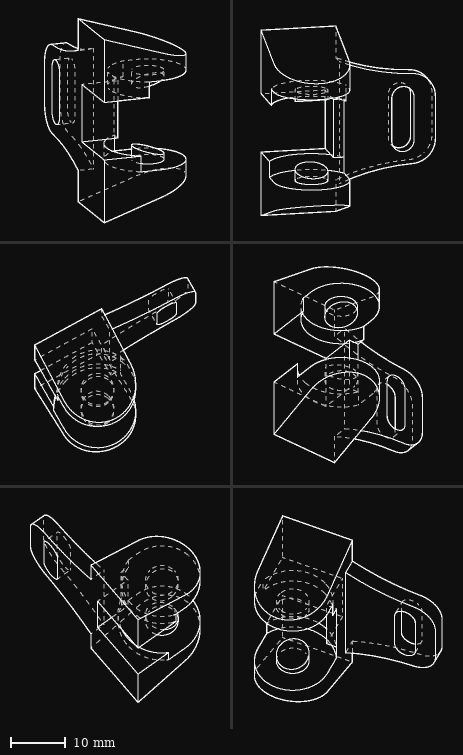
import cadquery as cq
import math

length = 32.0
height = 35.0
block_width = 14.0
nose_radius = block_width / 2
block_depth = 18.0
end_drop = 6.0
block_left = length - block_width
axis_x = block_left + nose_radius
axis_y = block_depth - nose_radius

gap_half_height = 5.5
web_right = 20.0
web_depth = 7.0
recess_half_height = 8.5
lower_recess_radius = 8.0
upper_recess_radius = 7.35

pin_diameter = 6.0
pin_short = 1.1
pin_tall = 2.75

tab_thickness = 3.0
tab_half_height = 8.5
tab_corner_radius = 4.5
tab_root_half_height = 11.5
flare_start_angle = math.radians(2.5)
flare_sag = 0.63
slot_x = 6.1
slot_width = 4.13
slot_length = 12.25


def side_prism(points):
    """Extrude a (Y, Z) polygon along X across the block."""
    return cq.Workplane("YZ", origin=(block_left, 0, 0)).polyline(points).close().extrude(block_width)


def cylinder(radius, z_start, z_end):
    """Cylinder on the common axis of the nose, recesses and pins."""
    plane = cq.Workplane("XY", origin=(axis_x, axis_y, z_start))
    return plane.circle(radius).extrude(z_end - z_start)


def make_block():
    profile = (
        cq.Workplane("XY", origin=(0, 0, -height / 2))
        .moveTo(block_left, 0)
        .lineTo(length, 0)
        .lineTo(length, axis_y)
        .threePointArc((axis_x, block_depth), (block_left, axis_y))
        .close()
        .extrude(height)
    )
    back_half_height = height / 2 - end_drop
    tapered = side_prism([
        (0, -height / 2),
        (block_depth, -back_half_height),
        (block_depth, back_half_height),
        (0, height / 2),
    ])
    return profile.intersect(tapered)


def cut_gap(block):
    gap_height = 2 * gap_half_height
    slot = cq.Workplane("XY").box(length - web_right, block_depth, gap_height, centered=(False, False, True))
    behind_web = cq.Workplane("XY").box(
        block_width, block_depth - web_depth, gap_height, centered=(False, False, True)
    )
    block = block.cut(slot.translate((web_right, 0, 0)))
    block = block.cut(behind_web.translate((block_left, web_depth, 0)))
    block = block.cut(cylinder(lower_recess_radius, -recess_half_height, -gap_half_height))
    return block.cut(cylinder(upper_recess_radius, gap_half_height, recess_half_height))


def make_lower_pin():
    """Pin rising from the lower recess floor, tallest toward the front face."""
    pin_radius = pin_diameter / 2
    front = axis_y - pin_radius
    back = axis_y + pin_radius
    floor = -recess_half_height
    envelope = side_prism([
        (front, floor),
        (back, floor),
        (back, floor + pin_short),
        (front, floor + pin_tall),
    ])
    return cylinder(pin_radius, floor, 0).intersect(envelope)


def make_tab():
    corner_z = tab_half_height - tab_corner_radius

    def corner_point(angle):
        """Upper corner arc point, with the angle measured from +Z toward -X."""
        x = tab_corner_radius * (1 - math.sin(angle))
        z = corner_z + tab_corner_radius * math.cos(angle)
        return x, z

    def mirrored(point):
        return point[0], -point[1]

    flare_start = corner_point(flare_start_angle)
    corner_middle = corner_point(math.pi / 4)
    straight_end = (0, corner_z)
    root = (block_left, tab_root_half_height)
    tab = (
        cq.Workplane("XZ")
        .moveTo(*mirrored(root))
        .lineTo(*root)
        .sagittaArc(flare_start, flare_sag)
        .threePointArc(corner_middle, straight_end)
        .lineTo(*mirrored(straight_end))
        .threePointArc(mirrored(corner_middle), mirrored(flare_start))
        .sagittaArc(mirrored(root), flare_sag)
        .close()
        .extrude(-tab_thickness)
    )
    slot = cq.Workplane("XZ").center(slot_x, 0).slot2D(slot_length, slot_width, 90).extrude(-tab_thickness)
    return tab.cut(slot)


lower_pin = make_lower_pin()
upper_pin = lower_pin.mirror("XY")
result = cut_gap(make_block()).union(make_tab()).union(lower_pin).union(upper_pin)